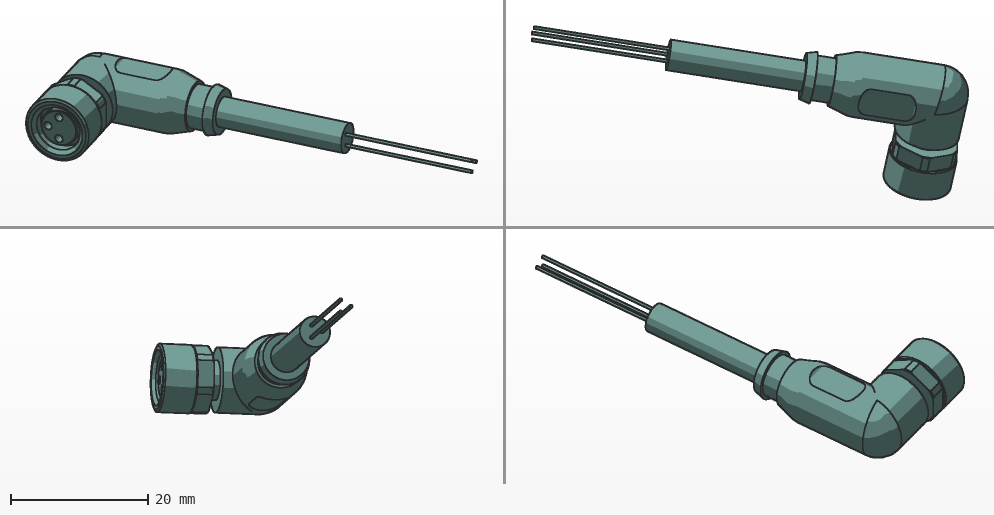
import cadquery as cq
import math


body_radius = 4.8
corner_fillet = 4.1
plug_leg_length = 6.15
grip_end = 11.4

recess_flat_start = 4.35
recess_flat_end = 9.7
recess_half_height = 4.2
recess_end_radius = 2.25

shoulder_end = 12.35
shoulder_radius = 4.65
cone_end = 15.2
cone_end_radius = 3.75
relief_end = 18.0
relief_radius = 3.3
flange_end = 19.5
flange_radius = 3.8
flange_end_radius = 3.4

cable_radius = 2.25
cable_end = 39.4
wire_radius = 0.225
wire_circle_radius = 1.05
wire_count = 3

overall_length = 64.7
nut_radius = 5.015
nut_offset = 0.2
wire_end = overall_length - nut_radius - nut_offset
front_y = -14.95
nut_back_y = -9.9
nut_back_chamfer = 0.2
nut_front_chamfer_length = 0.2
nut_front_chamfer_width = 0.4
neck_radius = 2.9
hex_back_y = -7.45
hex_corner_radius = 5.0
hex_across_flats = 9.1
hex_chamfer = 0.1

mouth_radius = 4.1
mouth_inner_radius = 3.4
mouth_depth = 0.5
insert_radius = 2.85
insert_depth = 0.7
insert_chamfer = 0.1
gap_depth = 1.95
pin_hole_radius = 0.615
pin_circle_radius = 1.75
pin_hole_depth = 1.95
pin_hole_angles = (90, 180, 270)

overlap = 0.65
far = 38.8


def corner_point(tilt, share):
    """Point of a ball rolled round the outer corner, inside both legs.

    The tilt goes from -90 degrees at the bottom to 90 at the top, and the share
    from 0 where the ball touches the cable leg to 1 where it touches the plug leg.
    """
    reach = math.cos(math.radians(tilt))
    rise = math.sin(math.radians(tilt))
    ball_path_radius = body_radius - corner_fillet
    ball_centre = cq.Vector(-reach, reach, rise) * ball_path_radius
    middle = cq.Vector(-reach / 2, reach / 2, rise).normalized()
    sideways = cq.Vector(1, 1, 0).normalized()
    half_spread = math.asin(reach / math.sqrt(2))
    swing = half_spread * (1 - 2 * share)
    return ball_centre + (middle * math.cos(swing) + sideways * math.sin(swing)) * corner_fillet


def make_corner():
    """Wedge of the elbow between its two legs, with the outer mitre edge rounded."""
    tilts = range(-90, 91, 15)
    shares = (0, 0.25, 0.5, 0.75, 1)
    grid = [[corner_point(tilt, share) for share in shares] for tilt in tilts]
    rounded_face = cq.Face.makeSplineApprox(grid, tol=1e-5)
    faces = [rounded_face]
    for rim in rounded_face.Edges():
        upright = cq.Edge.makeLine(rim.startPoint(), rim.endPoint())
        faces.append(cq.Face.makeFromWires(cq.Wire.assembleEdges([rim, upright])))
    return cq.Workplane(cq.Solid.makeSolid(cq.Shell.makeShell(faces)))


def make_cable_side():
    """Cable leg, strain relief and cable, turned about the X axis."""
    shoulder_middle = (grip_end + shoulder_end) / 2
    shoulder_drop = body_radius - shoulder_radius
    return (
        cq.Workplane("XY")
        .moveTo(-body_radius, 0)
        .lineTo(-body_radius, body_radius)
        .lineTo(grip_end, body_radius)
        .threePointArc((shoulder_middle, body_radius - shoulder_drop / 4), (shoulder_end, shoulder_radius))
        .lineTo(cone_end, cone_end_radius)
        .lineTo(cone_end, relief_radius)
        .lineTo(relief_end, relief_radius)
        .lineTo(relief_end, flange_radius)
        .lineTo(flange_end, flange_end_radius)
        .lineTo(flange_end, cable_radius)
        .lineTo(cable_end, cable_radius)
        .lineTo(cable_end, 0)
        .close()
        .revolve(360, (0, 0), (1, 0))
    )


def make_plug_side():
    return cq.Workplane("XZ").circle(body_radius).extrude(plug_leg_length + body_radius).translate(
        (0, body_radius, 0)
    )


def prism(points):
    return cq.Workplane("XY").polyline(points).close().extrude(far, both=True)


def make_elbow():
    """Both legs, cut along the inner mitre and the corner planes, plus the corner."""
    cable_rim = corner_point(0, 0)
    plug_rim = corner_point(0, 1)
    stretch = 2.0
    mitre = (far, -far)
    cable_zone = prism(
        [(0, 0), mitre, (2 * far, -far), (2 * far, far),
         (cable_rim.x * stretch, far), (cable_rim.x * stretch, cable_rim.y * stretch)]
    )
    plug_zone = prism(
        [(0, 0), mitre, (-far, -far), (-far, plug_rim.y * stretch),
         (plug_rim.x * stretch, plug_rim.y * stretch)]
    )
    cable_side = make_cable_side().intersect(cable_zone)
    plug_side = make_plug_side().intersect(plug_zone)
    return cable_side.union(plug_side).union(make_corner())


def make_recess():
    """Cutter for the upper finger recess, with a rounded run-out at both ends."""
    width = 2 * body_radius
    length = recess_flat_end - recess_flat_start + 2 * recess_end_radius
    return (
        cq.Workplane("XY")
        .box(length, width, body_radius, centered=(False, True, False))
        .edges("|Y and <Z")
        .fillet(recess_end_radius)
        .translate((recess_flat_start - recess_end_radius, 0, recess_half_height))
    )


def make_wires():
    wires = cq.Workplane("YZ").workplane(offset=cable_end - overlap)
    wires = wires.polarArray(wire_circle_radius, 0, 360, wire_count).circle(wire_radius)
    return wires.extrude(wire_end - cable_end + overlap)


def y_cylinder(radius, back, front):
    return cq.Workplane("XZ", origin=(0, back, 0)).circle(radius).extrude(back - front)


def make_plug():
    """Neck, hexagon and round nut on the plug axis, with the socket cut in the front."""
    neck = y_cylinder(neck_radius, -plug_leg_length + overlap, hex_back_y - overlap)
    hex_corners = hex_across_flats / math.cos(math.pi / 6)
    hexagon = (
        cq.Workplane("XZ", origin=(0, hex_back_y, 0))
        .transformed(rotate=(0, 0, 30))
        .polygon(6, hex_corners)
        .extrude(hex_back_y - nut_back_y)
        .intersect(y_cylinder(hex_corner_radius, hex_back_y, nut_back_y).faces(">Y").chamfer(hex_chamfer))
    )
    nut = (
        y_cylinder(nut_radius, nut_back_y, front_y)
        .faces(">Y")
        .chamfer(nut_back_chamfer)
        .faces("<Y")
        .chamfer(nut_front_chamfer_length, nut_front_chamfer_width)
    )
    return neck.union(hexagon).union(nut).cut(make_socket())


def make_socket():
    """Cutter for the flared mouth, the ring gap round the insert and the pin holes."""
    insert_y = front_y + insert_depth
    gap_y = front_y + gap_depth
    socket = (
        cq.Workplane("XY")
        .moveTo(0, front_y)
        .lineTo(mouth_radius, front_y)
        .lineTo(mouth_inner_radius, front_y + mouth_depth)
        .lineTo(mouth_inner_radius, gap_y)
        .lineTo(insert_radius, gap_y)
        .lineTo(insert_radius, insert_y + insert_chamfer)
        .lineTo(insert_radius - insert_chamfer, insert_y)
        .lineTo(0, insert_y)
        .close()
        .revolve(360, (0, 0), (0, 1))
    )
    for angle in pin_hole_angles:
        x = pin_circle_radius * math.cos(math.radians(angle))
        z = pin_circle_radius * math.sin(math.radians(angle))
        hole = y_cylinder(pin_hole_radius, insert_y + pin_hole_depth, insert_y)
        socket = socket.union(hole.translate((x, 0, z)))
    return socket


upper_recess = make_recess()
result = (
    make_elbow()
    .cut(upper_recess)
    .cut(upper_recess.mirror("XY"))
    .union(make_wires())
    .union(make_plug().translate((-nut_offset, 0, 0)))
)